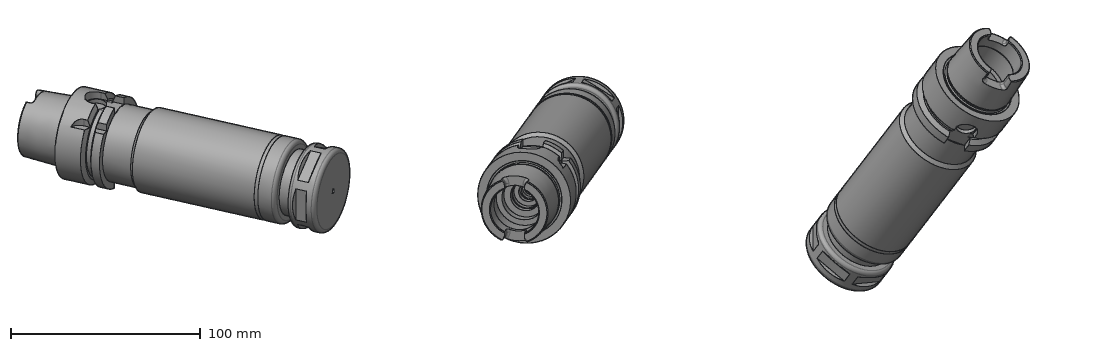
import cadquery as cq
import math

length = 175.0
taper_end = 23.0
flange_face = 25.0
groove_start, groove_end = 39.9, 46.0
flange_end = 51.0
body_start, body_end = 67.2, 151.9
body_chamfer = 2.0
nut_start = 158.5

mouth_radius = 18.0
mouth_chamfer = 0.5
taper_radius = 38.3 / 2
undercut_radius = 18.5
undercut_slope = 0.9
flange_radius = 25.0
neck_radius = 42.2 / 2
body_radius = 46.0 / 2
body_end_fillet = 2.3
nut_neck_radius = 36.0 / 2
nut_front_fillet = 2.1
nut_back_fillet = 2.3

groove_radius = 20.8
groove_slope_length = 1.5
groove_slope_drop = 3.0

relief_radius = 20.3
relief_depth = 0.5

ring_start, ring_end = 139.6, 141.8
ring_depth = 0.09

bore_radius = 13.0
clamp_radius = 14.5
clamp_start, clamp_end = 9.5, 22.8
coolant_diameter = 2.5
bore_steps = [(23.0, 28.0), (16.0, 31.5), (15.0, 35.0), (10.0, 38.5), (8.5, 42.0), (6.5, 45.5)]

key_half_width = 5.5
key_flare_radius = 3.2
key_flare_start = 13.8
key_floor_fillet = 1.5
key_depth_top, key_depth_bottom = 4.2, 7.0

slot_center_x = 37.6
slot_width = 12.0
slot_floor = 20.3
pin_hole_diameter = 11.0
pin_hole_depth = 2.5
side_slot_y = -21.9
side_slot_floor = 15.4

flat_count = 6
flat_distance = 21.0
flat_start, flat_end = 163.0, 169.0
flat_slope_front, flat_slope_back = 1.0, 0.61

overlap = 1.8


def cylinder(radius, start, end):
    """Cylinder about the X axis between two stations."""
    return cq.Workplane("YZ", origin=(start, 0, 0)).circle(radius).extrude(end - start)


def revolve_about_x(profile):
    """Solid of revolution from (station, radius) points."""
    return cq.Workplane("XY").polyline(profile).close().revolve(360, (0, 0, 0), (1, 0, 0))


def turn_half(shape):
    """Copy of a shape turned half a turn about the X axis."""
    return shape.rotate((0, 0, 0), (1, 0, 0), 180)


def make_shank_and_body():
    """Turned taper shank, flange, neck and body."""
    groove_shoulder = flange_radius - groove_slope_drop
    groove_floor_start = groove_start + groove_slope_length
    groove_floor_end = groove_end - groove_slope_length
    relief_floor = flange_face + relief_depth
    turned = revolve_about_x([
        (0, 0),
        (0, mouth_radius - mouth_chamfer),
        (mouth_chamfer, mouth_radius),
        (taper_end, taper_radius),
        (taper_end + undercut_slope, undercut_radius),
        (relief_floor - undercut_slope, undercut_radius),
        (relief_floor, taper_radius),
        (relief_floor, relief_radius),
        (flange_face, relief_radius),
        (flange_face, flange_radius),
        (groove_start, flange_radius),
        (groove_floor_start, groove_shoulder),
        (groove_floor_start, groove_radius),
        (groove_floor_end, groove_radius),
        (groove_floor_end, groove_shoulder),
        (groove_end, flange_radius),
        (flange_end, flange_radius),
        (flange_end, neck_radius),
        (body_start, neck_radius),
        (body_start + body_chamfer, body_radius),
        (body_end, body_radius),
        (body_end, 0),
    ])
    turned = turned.faces(">X").edges().fillet(body_end_fillet)
    ring_outer = cylinder(body_radius + overlap, ring_start, ring_end)
    ring_core = cylinder(body_radius - ring_depth, ring_start, ring_end)
    return turned.cut(ring_outer.cut(ring_core))


def make_nut():
    """Clamping nut with rounded rims and flats milled around it."""
    nut = cylinder(body_radius, nut_start, length)
    nut = nut.faces("<X").edges().fillet(nut_front_fillet)
    nut = nut.faces(">X").edges().fillet(nut_back_fillet)

    pocket_top = 2 * body_radius - flat_distance
    pocket = (
        cq.Workplane("XZ")
        .polyline([
            (flat_start, flat_distance),
            (flat_end, flat_distance),
            (flat_end + 2 * flat_slope_back, pocket_top),
            (flat_start - 2 * flat_slope_front, pocket_top),
        ])
        .close()
        .extrude(body_radius, both=True)
    )
    for i in range(flat_count):
        angle = 90 + i * 360 / flat_count
        nut = nut.cut(pocket.rotate((0, 0, 0), (1, 0, 0), angle))
    return nut


def make_bore():
    """Cutter for the mouth, clamping chamber, inner steps and coolant hole."""
    widening = clamp_radius - bore_radius
    profile = [
        (0, 0),
        (0, bore_radius + mouth_chamfer),
        (mouth_chamfer, bore_radius),
        (clamp_start, bore_radius),
        (clamp_start + widening, clamp_radius),
        (clamp_end, clamp_radius),
    ]
    start = clamp_end
    for diameter, end in bore_steps + [(coolant_diameter, length)]:
        profile += [(start, diameter / 2), (end, diameter / 2)]
        start = end
    profile.append((length, 0))
    return revolve_about_x(profile)


def make_keyway(depth):
    """Cutter for a keyway on +Z with flanks that round outward at the rim."""
    flare_y = key_half_width + key_flare_radius
    flare_z = key_flare_start + key_flare_radius
    mid_y = flare_y - key_flare_radius * math.sqrt(0.5)
    mid_z = key_flare_start + key_flare_radius * math.sqrt(0.5)
    outer_y = taper_radius
    outer_z = taper_radius + overlap
    cutter = (
        cq.Workplane("YZ", origin=(-overlap, 0, 0))
        .moveTo(-key_half_width, 0)
        .lineTo(key_half_width, 0)
        .lineTo(key_half_width, key_flare_start)
        .threePointArc((mid_y, mid_z), (flare_y, flare_z))
        .lineTo(outer_y, flare_z)
        .lineTo(outer_y, outer_z)
        .lineTo(-outer_y, outer_z)
        .lineTo(-outer_y, flare_z)
        .lineTo(-flare_y, flare_z)
        .threePointArc((-mid_y, mid_z), (-key_half_width, key_flare_start))
        .close()
        .extrude(depth + overlap)
    )
    flanks = cutter.faces(">X").edges("|Z").filter(lambda edge: abs(edge.Center().y) < flare_y)
    return flanks.fillet(key_floor_fillet)


def make_slot(center_y, floor):
    """Cutter for a slot open to +Z, round at one end, that runs out of the flange."""
    height = flange_radius + overlap - floor
    run = flange_end - slot_center_x
    base = cq.Workplane("XY", origin=(slot_center_x, center_y, floor))
    round_end = base.circle(slot_width / 2).extrude(height)
    channel = base.center(run / 2, 0).rect(run, slot_width).extrude(height)
    return round_end.union(channel)


def make_gripper_slot():
    """Cutter for the slot on +Z with the pin hole in its floor."""
    hole = (
        cq.Workplane("XY", origin=(slot_center_x, 0, slot_floor - pin_hole_depth))
        .circle(pin_hole_diameter / 2)
        .extrude(pin_hole_depth + overlap)
    )
    return make_slot(0, slot_floor).union(hole)


nut_neck = cylinder(nut_neck_radius, body_end - overlap, nut_start + overlap)
result = make_shank_and_body().union(nut_neck).union(make_nut())

gripper_slot = make_gripper_slot()
result = (
    result.cut(make_bore())
    .cut(make_keyway(key_depth_top))
    .cut(turn_half(make_keyway(key_depth_bottom)))
    .cut(gripper_slot)
    .cut(turn_half(gripper_slot))
    .cut(make_slot(side_slot_y, side_slot_floor))
)